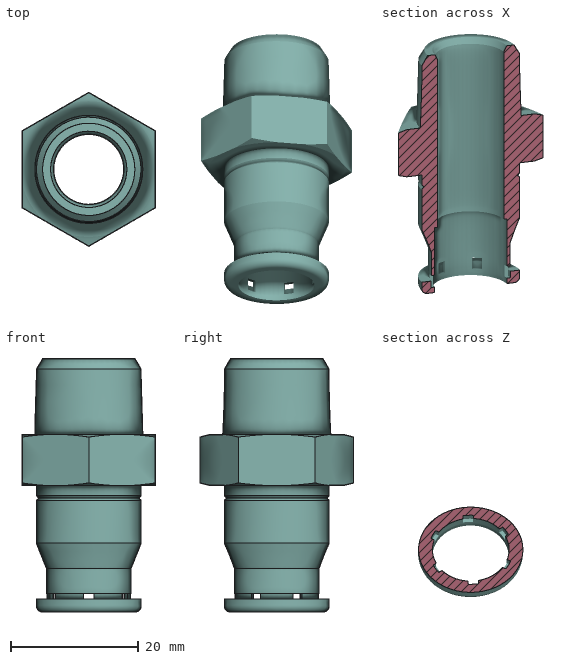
import cadquery as cq
import math

total_height = 39.9
slot_bottom = 1.0
flange_top = 2.07
slot_top = 2.9
cone_bottom = 6.85
cone_top = 10.85
groove_bottom = 17.55
groove_top = 18.3
hex_bottom = 19.95
hex_height = 7.98
hex_top = hex_bottom + hex_height

body_diameter = 16.5
neck_diameter = 13.33
collet_diameter = 13.2
groove_depth = 0.35
flange_round = 1.0

taper_base_diameter = 17.05
taper_tip_diameter = 16.45
tip_face_diameter = 14.52
tip_chamfer_height = 1.6

hex_across_flats = 21.0
hex_face_diameter = 21.4
hex_chamfer_angle = 15.0

bore_diameter = 11.0
bore_mouth_diameter = 12.0
tube_socket_diameter = 12.0
bore_chamfer_depth = 1.0

slot_count = 6
slot_width = 1.6


def make_body():
    """Flange, collet, neck, cone, grooved cylinder and tapered end as one revolved solid."""
    body_radius = body_diameter / 2
    neck_radius = neck_diameter / 2
    collet_radius = collet_diameter / 2
    groove_middle = (groove_bottom + groove_top) / 2
    arc_offset = flange_round * math.sqrt(0.5)
    arc_middle = (body_radius - flange_round + arc_offset, flange_round - arc_offset)
    return (
        cq.Workplane("XZ")
        .lineTo(body_radius - flange_round, 0)
        .threePointArc(arc_middle, (body_radius, flange_round))
        .lineTo(body_radius, flange_top)
        .lineTo(collet_radius, flange_top)
        .lineTo(collet_radius, slot_top)
        .lineTo(neck_radius, slot_top)
        .lineTo(neck_radius, cone_bottom)
        .lineTo(body_radius, cone_top)
        .lineTo(body_radius, groove_bottom)
        .lineTo(body_radius - groove_depth, groove_middle)
        .lineTo(body_radius, groove_top)
        .lineTo(body_radius, hex_top)
        .lineTo(taper_base_diameter / 2, hex_top)
        .lineTo(taper_tip_diameter / 2, total_height - tip_chamfer_height)
        .lineTo(tip_face_diameter / 2, total_height)
        .lineTo(0, total_height)
        .close()
        .revolve()
    )


def make_hexagon():
    """Hexagon with corners on the Y axis, its corners chamfered at both ends."""
    corner_radius = hex_across_flats / math.sqrt(3)
    face_radius = hex_face_diameter / 2
    corner_drop = (corner_radius - face_radius) * math.tan(math.radians(hex_chamfer_angle))
    prism = (
        cq.Workplane("XY")
        .workplane(offset=hex_bottom)
        .transformed(rotate=(0, 0, 90))
        .polygon(6, 2 * corner_radius)
        .extrude(hex_height)
    )
    chamfer_envelope = (
        cq.Workplane("XZ")
        .moveTo(0, hex_bottom)
        .lineTo(face_radius, hex_bottom)
        .lineTo(corner_radius, hex_bottom + corner_drop)
        .lineTo(corner_radius, hex_top - corner_drop)
        .lineTo(face_radius, hex_top)
        .lineTo(0, hex_top)
        .close()
        .revolve()
    )
    return prism.intersect(chamfer_envelope)


def make_bore():
    """Through bore with a conical mouth at the top and a wider tube socket at the bottom."""
    bore_radius = bore_diameter / 2
    socket_radius = tube_socket_diameter / 2
    return (
        cq.Workplane("XZ")
        .lineTo(socket_radius, 0)
        .lineTo(socket_radius, cone_top)
        .lineTo(bore_radius, cone_top)
        .lineTo(bore_radius, total_height - bore_chamfer_depth)
        .lineTo(bore_mouth_diameter / 2, total_height)
        .lineTo(0, total_height)
        .close()
        .revolve()
    )


def make_slots():
    """Slots through the collet wall, in opposite pairs starting on the Y axis."""
    slots = cq.Workplane("XY")
    for index in range(slot_count // 2):
        pair = (
            cq.Workplane("XY")
            .workplane(offset=slot_bottom)
            .rect(slot_width, collet_diameter)
            .extrude(slot_top - slot_bottom)
            .rotate((0, 0, 0), (0, 0, 1), index * 360 / slot_count)
        )
        slots = slots.add(pair)
    collet_envelope = (
        cq.Workplane("XY")
        .workplane(offset=slot_bottom)
        .circle(collet_diameter / 2)
        .extrude(slot_top - slot_bottom)
    )
    return slots.combine().intersect(collet_envelope)


result = make_body().union(make_hexagon()).cut(make_bore()).cut(make_slots())